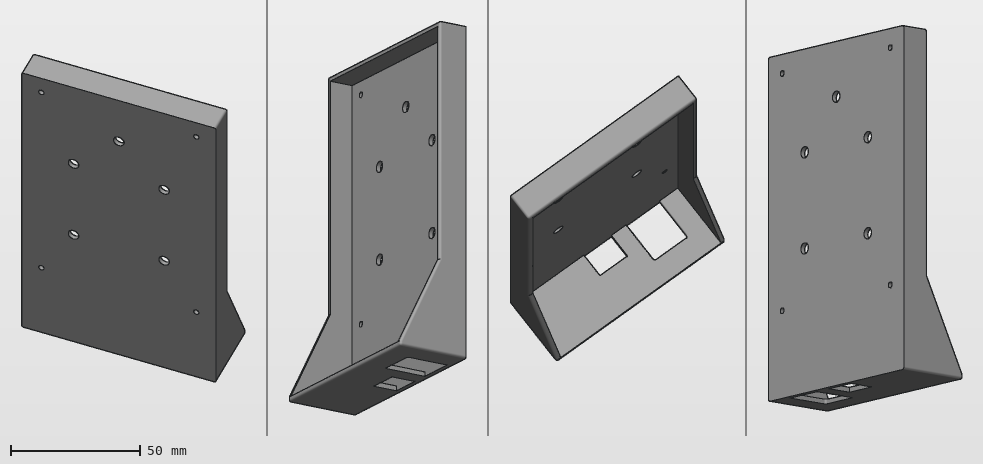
import cadquery as cq

width = 81.6
height = 136.09
base_depth = 30.0
upper_depth = 12.0

wall = 2.0
corner_radius = 1.0
rim_radius = 1.0
back_normal_limit = 0.8

slope_bottom = wall
slope_top = 38.65

mount_hole_diameter = 4.4
mount_spacing = 38.0
mount_center_z = 76.2

screw_hole_diameter = 2.2
screw_spacing_x = 65.0
screw_top_z = 128.5
screw_bottom_z = 34.65

port_width = 16.1
port_center_x = -22.0
port_back = 20.1
port_corner_radius = 0.8
port_edge_radius = 0.5

slot_width = 13.3
slot_back = 12.4

tolerance = 0.01


def make_block():
    """Solid block with the side outline of the part and rounded corners."""
    outline = [
        (0, 0),
        (base_depth, 0),
        (base_depth, slope_bottom),
        (upper_depth, slope_top),
        (upper_depth, height),
        (0, height),
    ]
    block = cq.Workplane("YZ").polyline(outline).close().extrude(width / 2, both=True)
    return block.edges("|Y").fillet(corner_radius)


def round_back_rim(block):
    """Round the outline of the back faces, leaving the creases between them sharp."""
    back_edges = []
    for face in block.faces().vals():
        if face.normalAt().y > back_normal_limit:
            back_edges += face.Edges()
    rim_edges = [edge for edge in back_edges if sum(edge.isSame(other) for other in back_edges) == 1]
    return block.newObject(rim_edges).fillet(rim_radius)


def make_cavity():
    """Space between the walls, open towards the back."""
    inner_width = width - 2 * wall
    inner_height = height - 2 * wall
    cavity = cq.Workplane("XY").box(inner_width, base_depth, inner_height, centered=(True, False, False))
    return cavity.translate((0, wall, wall))


def front_holes(diameter, centers):
    """Cutters through the front wall at the given (x, z) centres."""
    return cq.Workplane("XZ").pushPoints(centers).circle(diameter / 2).extrude(-wall)


def mount_holes():
    """Four holes on a square and a fifth above its centre."""
    half = mount_spacing / 2
    centers = [(x, mount_center_z + z) for x in (-half, half) for z in (-half, half)]
    centers.append((0, mount_center_z + mount_spacing))
    return front_holes(mount_hole_diameter, centers)


def screw_holes():
    """Four small holes near the side walls."""
    half = screw_spacing_x / 2
    centers = [(x, z) for x in (-half, half) for z in (screw_bottom_z, screw_top_z)]
    return front_holes(screw_hole_diameter, centers)


def floor_opening(opening_width, center_x, back):
    """Cutter through the floor, from the inside of the front wall back to y = back."""
    opening = cq.Workplane("XY").box(opening_width, back - wall, wall, centered=(True, False, False))
    return opening.translate((center_x, wall, 0))


def cut_cable_port(body):
    """Cut the cable port and round its edge on the inside of the floor."""
    port = floor_opening(port_width, port_center_x, port_back)
    port = port.edges("|Z and >Y").fillet(port_corner_radius)
    body = body.cut(port)
    reach = port_width / 2 + tolerance
    around_port = cq.selectors.BoxSelector(
        (port_center_x - reach, wall + tolerance, wall - tolerance),
        (port_center_x + reach, port_back + tolerance, wall + tolerance),
    )
    return body.edges(around_port).fillet(port_edge_radius)


shell = round_back_rim(make_block()).cut(make_cavity())
shell = shell.cut(mount_holes()).cut(screw_holes())
shell = cut_cable_port(shell)
result = shell.cut(floor_opening(slot_width, 0, slot_back))